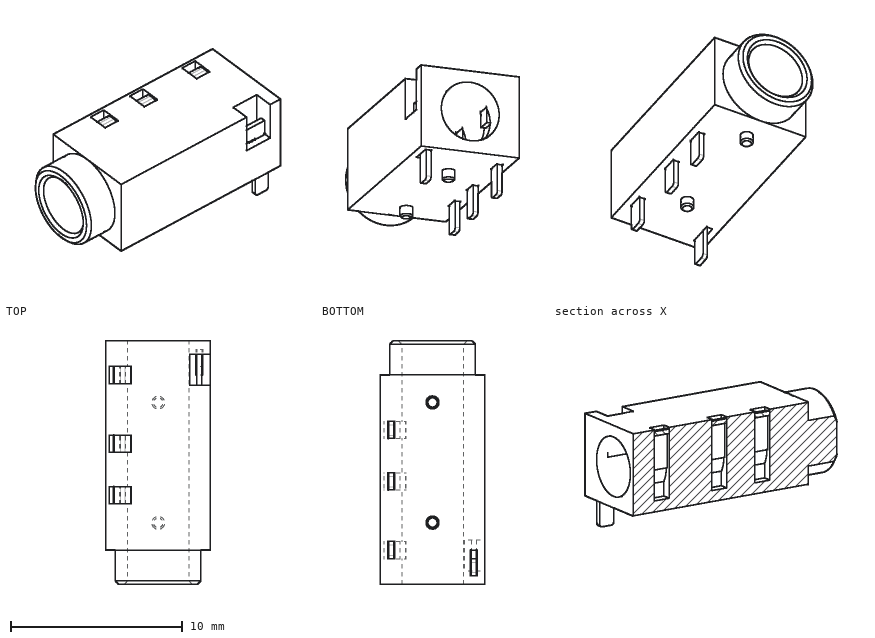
import cadquery as cq


block_width = 6.11
block_length = 12.2
block_height = 5.0
collar_length = 2.0
collar_radius = block_height / 2
collar_chamfer = 0.2
bore_radius = 1.8
bore_chamfer = 0.2
axis_height = block_height / 2

post_radius = 0.375
post_length = 0.6
post_chamfer = 0.1
post_places = (1.6, 8.6)

sheet = 0.3
leg_width = 1.0
leg_length = 1.8
leg_corner_radius = 0.2
leg_offset = 2.4
sheet_clearance = 0.05

contact_places = (3.2, 6.2, 10.2)
contact_outer_x = -leg_offset - sheet / 2
contact_leg_inner_x = contact_outer_x + sheet
contact_tip_x = -1.6
contact_top = 4.9
contact_bend_radius = 0.35
contact_tip_height = axis_height

window_outer_x = -2.85
window_inner_x = contact_tip_x + sheet_clearance
window_floor = axis_height - bore_radius

switch_place = 11.2
switch_inner_x = leg_offset - sheet / 2
switch_outer_x = leg_offset + sheet / 2
switch_back = switch_place + leg_width / 2
switch_arm_height = 1.0
pocket_inner_x = 1.855
pocket_front = 9.6
pocket_back = 11.4
pocket_floor = axis_height
slot_front = 10.2


def box(x_range, y_range, z_range):
    """Box between the given low and high limits along each axis."""
    size = [high - low for low, high in (x_range, y_range, z_range)]
    corner = (x_range[0], y_range[0], z_range[0])
    return cq.Workplane("XY").box(*size, centered=False).translate(corner)


def leg_span(place):
    return (place - leg_width / 2, place + leg_width / 2)


def make_leg(inner_x, outer_x, place, top):
    """Flat solder leg with its two lower corners rounded."""
    leg = box((inner_x, outer_x), leg_span(place), (-leg_length, top))
    return leg.edges("|X and <Z").fillet(leg_corner_radius)


def make_collar():
    collar = cq.Workplane("XZ").center(0, axis_height).circle(collar_radius).extrude(collar_length)
    return collar.faces("<Y").chamfer(collar_chamfer)


def make_bore():
    """Through bore with a flared mouth, revolved about the bore axis."""
    mouth = -collar_length
    return (
        cq.Workplane("XY", origin=(0, 0, axis_height))
        .moveTo(0, mouth)
        .lineTo(bore_radius + bore_chamfer, mouth)
        .lineTo(bore_radius, mouth + bore_chamfer)
        .lineTo(bore_radius, block_length)
        .lineTo(0, block_length)
        .close()
        .revolve(360, (0, 0, 0), (0, 1, 0))
    )


def make_posts():
    posts = cq.Workplane("XY").pushPoints([(0, y) for y in post_places])
    return posts.circle(post_radius).extrude(-post_length).faces("<Z").chamfer(post_chamfer)


def make_housing():
    half_width = block_width / 2
    body = box((-half_width, half_width), (0, block_length), (0, block_height))
    body = body.union(make_collar()).union(make_posts()).cut(make_bore())

    contact_slot_x = (contact_outer_x - sheet_clearance, contact_leg_inner_x + sheet_clearance)
    for place in contact_places:
        span = leg_span(place)
        body = body.cut(box((window_outer_x, window_inner_x), span, (window_floor, block_height)))
        body = body.cut(box(contact_slot_x, span, (0, window_floor)))

    pocket = box((pocket_inner_x, half_width), (pocket_front, pocket_back), (pocket_floor, block_height))
    switch_slot_x = (switch_inner_x - sheet_clearance, switch_outer_x + sheet_clearance)
    slot = box(switch_slot_x, (slot_front, switch_back), (0, pocket_floor))
    return body.cut(pocket).cut(slot)


def make_spring_contact(place):
    """Strip bent over in an inverted U, from the solder leg to a tip inside the bore."""
    inner_bend_radius = contact_bend_radius - sheet
    leg = make_leg(contact_outer_x, contact_leg_inner_x, place, contact_tip_height)
    bend = box((contact_outer_x, contact_tip_x), leg_span(place), (contact_tip_height, contact_top))
    bend = bend.edges("|Y and >Z").fillet(contact_bend_radius)
    gap = box(
        (contact_leg_inner_x, contact_tip_x - sheet),
        leg_span(place),
        (contact_tip_height, contact_top - sheet),
    )
    gap = gap.edges("|Y and >Z").fillet(inner_bend_radius)
    return leg.union(bend.cut(gap))


def make_switch_terminal():
    """Flat terminal: a leg in the slot and an arm that rests on the pocket floor."""
    leg = make_leg(switch_inner_x, switch_outer_x, switch_place, pocket_floor)
    arm_z = (pocket_floor, pocket_floor + switch_arm_height)
    arm = box((switch_inner_x, switch_outer_x), (pocket_front, pocket_back), arm_z)
    return leg.union(arm)


housing = make_housing()
spring_contacts = [make_spring_contact(place) for place in contact_places]
switch_terminal = make_switch_terminal()

result = cq.Compound.makeCompound(
    [housing.val(), *[contact.val() for contact in spring_contacts], switch_terminal.val()]
)